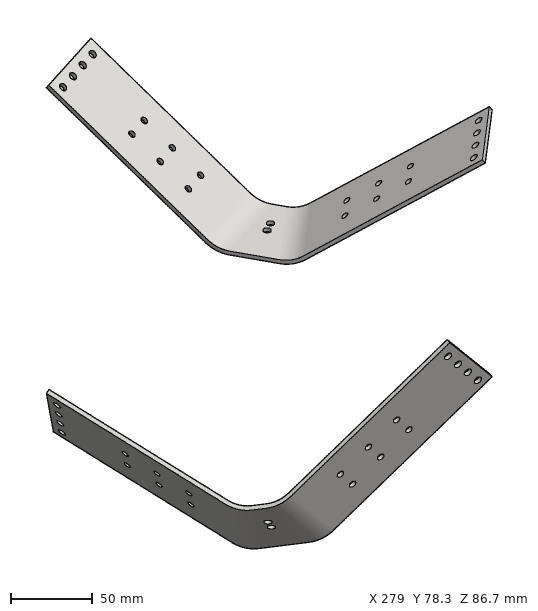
import cadquery as cq
import math

thickness = 3.0
bend_radius = 25.0
bend_angle = 35.8
sweep_angle = 11.8
wing_length = 135.0
base_depth = 54.0
overall_width = 279.0

base_hole_diameter = 5.0
base_hole_places = (27.0, 34.5)
tip_hole_diameter = 5.0
tip_hole_count = 4
tip_hole_pitch = 12.8
tip_hole_inset = 7.3
tip_row_from_back = 9.0
grid_hole_diameter = 4.5
grid_columns = 3
grid_rows = 2
grid_column_pitch = 24.0
grid_row_pitch = 16.0
grid_inset = 57.8
grid_from_back = 19.0

rise = math.radians(bend_angle)
sweep = math.radians(sweep_angle)
outer_radius = bend_radius + thickness
bend_run = bend_radius * math.sin(rise)
reach = 2 * (wing_length + base_depth)

across = cq.Vector(math.cos(sweep), math.sin(sweep), 0)
along = cq.Vector(-math.sin(sweep), math.cos(sweep), 0)
up = cq.Vector(0, 0, 1)
uphill = across * math.cos(rise) + up * math.sin(rise)
wing_normal = up * math.cos(rise) - across * math.sin(rise)

edge_tangent = bend_run / (1 + math.cos(sweep))

tip_run = outer_radius * math.sin(rise) + wing_length * math.cos(rise)
corner_to_tip = tip_run - edge_tangent * math.cos(sweep)
front_half_width = overall_width / 2 - edge_tangent - corner_to_tip * math.cos(sweep)
back_half_width = front_half_width - base_depth * math.tan(sweep)
back_corner = cq.Vector(back_half_width + edge_tangent, base_depth, 0)


def arc_point(radius, angle):
    """Point on a bend arc, as (across, height) from the bend line."""
    return radius * math.sin(angle), outer_radius - radius * math.cos(angle)


def bent_sheet():
    """Right half of the bent sheet, before its long edges are trimmed."""
    lower_end = arc_point(outer_radius, rise)
    upper_end = arc_point(bend_radius, rise)
    wing_run = wing_length * math.cos(rise)
    wing_rise = wing_length * math.sin(rise)
    section_plane = cq.Plane((front_half_width, 0, 0), across.toTuple(), (-along).toTuple())
    return (
        cq.Workplane(section_plane)
        .moveTo(-base_depth, 0)
        .lineTo(0, 0)
        .threePointArc(arc_point(outer_radius, rise / 2), lower_end)
        .lineTo(lower_end[0] + wing_run, lower_end[1] + wing_rise)
        .lineTo(upper_end[0] + wing_run, upper_end[1] + wing_rise)
        .lineTo(*upper_end)
        .threePointArc(arc_point(bend_radius, rise / 2), (0, thickness))
        .lineTo(-base_depth, thickness)
        .close()
        .extrude(reach, both=True)
    )


def plan_outline():
    """Right half of the plan, running past the wing tip."""
    half_sweep = sweep / 2
    edge_radius = edge_tangent / math.tan(half_sweep)
    arc_gap = edge_radius / math.cos(half_sweep) - edge_radius
    toward_arc = cq.Vector(-math.sin(half_sweep), math.cos(half_sweep), 0)
    front_corner = cq.Vector(front_half_width + edge_tangent, 0, 0)
    front_middle = front_corner + toward_arc * arc_gap
    back_middle = back_corner + toward_arc * arc_gap
    front_turn = front_corner + across * edge_tangent
    back_turn = back_corner + across * edge_tangent
    front_end = front_turn + across * reach
    back_end = back_turn + across * reach
    return (
        cq.Workplane("XY")
        .lineTo(front_half_width, 0)
        .threePointArc((front_middle.x, front_middle.y), (front_turn.x, front_turn.y))
        .lineTo(front_end.x, front_end.y)
        .lineTo(back_end.x, back_end.y)
        .lineTo(back_turn.x, back_turn.y)
        .threePointArc((back_middle.x, back_middle.y), (back_half_width, base_depth))
        .lineTo(0, base_depth)
        .close()
        .extrude(reach)
    )


def wing_holes(diameter, places):
    """Cutters through the wing; places are (from tip, from back edge)."""
    tip_across, tip_height = arc_point(bend_radius, rise)
    tip_across += wing_length * math.cos(rise)
    tip_height += wing_length * math.sin(rise)
    corner_across = edge_tangent * math.cos(sweep)
    tip_corner = back_corner + across * (tip_across - corner_across) + up * tip_height
    wing_plane = cq.Plane(tip_corner.toTuple(), (-uphill).toTuple(), wing_normal.toTuple())
    return (
        cq.Workplane(wing_plane)
        .pushPoints(places)
        .circle(diameter / 2)
        .extrude(2 * thickness, both=True)
    )


tip_places = [
    (tip_hole_inset, tip_row_from_back + i * tip_hole_pitch)
    for i in range(tip_hole_count)
]
grid_places = [
    (grid_inset + column * grid_column_pitch, grid_from_back + row * grid_row_pitch)
    for column in range(grid_columns)
    for row in range(grid_rows)
]

right_half = (
    bent_sheet()
    .intersect(plan_outline())
    .cut(wing_holes(tip_hole_diameter, tip_places))
    .cut(wing_holes(grid_hole_diameter, grid_places))
)
base_holes = (
    cq.Workplane("XY")
    .pushPoints([(0, place) for place in base_hole_places])
    .circle(base_hole_diameter / 2)
    .extrude(thickness)
)
result = right_half.union(right_half.mirror("YZ")).cut(base_holes).clean()